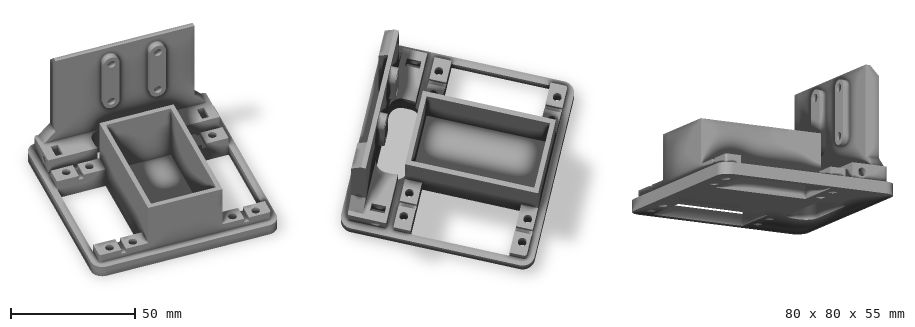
import cadquery as cq

base_side = 80.0
base_thickness = 5.0
base_corner_radius = 10.0 / 2
inner_side = 74.0
inner_half = inner_side / 2
rim = (base_side - inner_side) / 2
inner_corner_radius = 2.0 / 2
wall = 2.0

foot_left = -inner_half
foot_length = 16.0
foot_right = foot_left + foot_length
foot_top = 12.0

panel_top = 55.0
panel_depth = 6.0
panel_back = foot_left + panel_depth
panel_width = 60.0
panel_foot_width = 70.0
panel_flare = (panel_foot_width - panel_width) / 2
wing_depth = panel_depth - wall
recess_width = 38.0

hole_diameter = 3.5
panel_hole_spacing = 20.0
panel_holes_y = 3.0
panel_holes_z = 38.6
bar_width = 7.0
bar_depth = 3.0

screw_x = -25.5
screw_depth = 10.0
screw_z = (base_thickness + foot_top) / 2
nut_pocket_length = 6.0
nut_pocket_width = 3.0
nut_pocket_y = 31.5

box_left = foot_right + rim
box_right = inner_half
box_width = 32.0
box_top = 28.0
box_floor = 3.0
opening_corner_radius = 10.0 / 2

pad_length = 7.0
pad_top = 9.0
pad_hole_inset = 3.0
pad_hole_spacing = 10.0
pad_middle_y = (box_width / 2 + inner_half) / 2
groove_width = 2.0
groove_depth = 2.0


def block(x_range, y_range, z_range):
    """Box spanning the given (low, high) ranges."""
    size = [high - low for low, high in (x_range, y_range, z_range)]
    return cq.Workplane("XY").box(*size, centered=False).translate((x_range[0], y_range[0], z_range[0]))


def centred(width):
    """Range of the given width, symmetric about zero."""
    return (-width / 2, width / 2)


def rounded_square(side, height, radius):
    return cq.Workplane("XY").rect(side, side).extrude(height).edges("|Z").fillet(radius)


def make_base():
    """Plate with a window on each side of the box and an opening behind the panel."""
    plate = rounded_square(base_side, base_thickness, base_corner_radius)
    windows = block(
        (box_left + pad_length, box_right - pad_length), centred(inner_side), (0, base_thickness)
    )
    return plate.cut(windows)


def make_foot():
    """Block carrying the panel; its outer corners follow the rounded inner footprint."""
    foot = block((foot_left, foot_right), centred(inner_side), (base_thickness, foot_top))
    return foot.intersect(rounded_square(inner_side, foot_top, inner_corner_radius))


def make_opening():
    """Cutter for the rounded opening between the panel and the box."""
    opening = block((panel_back, box_left), centred(box_width), (0, foot_top))
    return opening.edges("|Z").fillet(opening_corner_radius)


def make_nut_traps():
    """Cutters for the side screws and the nut pockets open to the top."""
    traps = cq.Workplane("XY")
    for side in (-1, 1):
        direction = cq.Vector(0, -side, 0)
        entry = cq.Vector(screw_x, side * inner_half, screw_z)
        traps = traps.add(cq.Solid.makeCylinder(hole_diameter / 2, screw_depth, entry, direction))
        pocket = (
            cq.Workplane("XY", origin=(screw_x, side * nut_pocket_y, base_thickness))
            .rect(nut_pocket_length, nut_pocket_width)
            .extrude(foot_top - base_thickness)
        )
        traps = traps.add(pocket)
    return traps.combine()


def make_panel():
    """Upright with flared lower corners and a bevelled top front edge."""
    half = panel_width / 2
    foot_half = panel_foot_width / 2
    return (
        cq.Workplane("YZ", origin=(foot_left, 0, 0))
        .moveTo(-foot_half, foot_top)
        .lineTo(foot_half, foot_top)
        .lineTo(half, foot_top + panel_flare)
        .lineTo(half, panel_top)
        .lineTo(-half, panel_top)
        .lineTo(-half, foot_top + panel_flare)
        .close()
        .extrude(panel_depth)
        .edges("<X and >Z")
        .chamfer(wing_depth)
    )


def make_web():
    """Thin full-height sheet between the wings."""
    return block((panel_back - wall, panel_back), centred(recess_width), (base_thickness, panel_top))


def make_recess():
    """Cutter for the gap in front of the web."""
    return block((foot_left, panel_back - wall), centred(recess_width), (base_thickness, panel_top))


def make_bars():
    """Two upright round-ended bars on the back of the web."""
    return (
        cq.Workplane("YZ", origin=(panel_back, panel_holes_y, panel_holes_z))
        .rarray(panel_hole_spacing, 0.8, 2, 1)
        .slot2D(panel_hole_spacing + bar_width, bar_width, 90)
        .extrude(bar_depth)
    )


def make_panel_holes():
    """Cutters for the four screw holes through the web and the bars."""
    return (
        cq.Workplane("YZ", origin=(foot_left, panel_holes_y, panel_holes_z))
        .rarray(panel_hole_spacing, panel_hole_spacing, 2, 2)
        .circle(hole_diameter / 2)
        .extrude(panel_depth + bar_depth)
    )


def make_box():
    return block((box_left, box_right), centred(box_width), (0, box_top))


def make_box_cavity():
    return block(
        (box_left + wall, box_right - wall), centred(box_width - 2 * wall), (box_floor, box_top)
    )


def make_pads():
    """Four grooved pads beside the ends of the box, each with two screw holes."""
    pads = block((box_left, box_right), centred(inner_side), (0, pad_top))
    pads = pads.cut(
        block((box_left + pad_length, box_right - pad_length), centred(inner_side), (0, pad_top))
    )
    for side in (-1, 1):
        middle = side * pad_middle_y
        groove = block(
            (box_left, box_right),
            (middle - groove_width / 2, middle + groove_width / 2),
            (pad_top - groove_depth, pad_top),
        )
        pads = pads.cut(groove)
    return pads.intersect(rounded_square(inner_side, pad_top, inner_corner_radius))


def make_pad_holes():
    """Cutters for the screw holes through the pads and the base."""
    offsets = (-pad_hole_spacing / 2, pad_hole_spacing / 2)
    points = [
        (x, side * pad_middle_y + offset)
        for x in (box_left + pad_hole_inset, box_right - pad_hole_inset)
        for side in (-1, 1)
        for offset in offsets
    ]
    return cq.Workplane("XY").pushPoints(points).circle(hole_diameter / 2).extrude(pad_top)


body = make_base().union(make_foot()).cut(make_opening()).cut(make_nut_traps())
body = body.union(make_panel()).cut(make_recess())
body = body.union(make_web()).union(make_bars()).cut(make_panel_holes())
body = body.union(make_pads()).cut(make_pad_holes())
body = body.union(make_box()).cut(make_box_cavity())
result = body.clean()